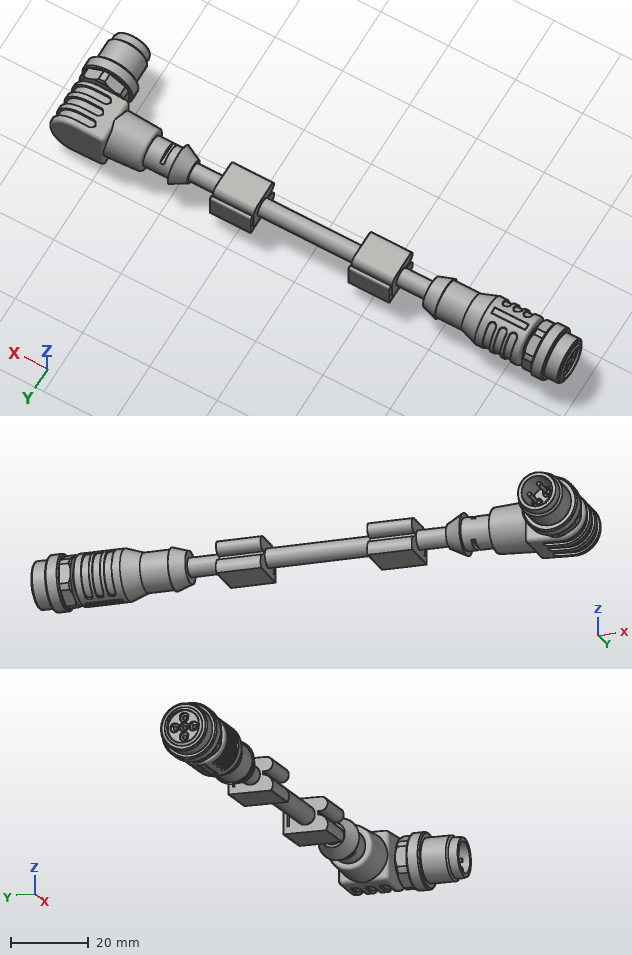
import cadquery as cq
import math


LENGTH = 152.1

CABLE_R = 2.6
CABLE_START = 41.0
CABLE_END = 113.3

RING_D = 15.0
RING_R = RING_D / 2
RING_CHAMFER = 0.38
HEX_SIDES = 6
HEX_FLATS = 13.0
HEX_TRIM_R = 7.0
HEX_CHAMFER = 0.5
NECK_D = 8.7

OVERLAP = 0.8

CONTACT_RADIUS = 2.6
WELL_D = 2.5
WELL_DEPTH = 0.8
CONTACT_COUNT = 4

SOCKET_LIP_R = 5.2
SOCKET_LIP_ROUND = 0.5
SOCKET_MOUTH_R = 4.4
SOCKET_MOUTH_DEPTH = 0.8
SOCKET_HOLE_D = 1.15
SOCKET_HOLE_DEPTH = 6.1
SLEEVE_R = 6.4
SLEEVE_START = 0.5
SOCKET_RING_START = 4.5
SOCKET_RING_END = 8.2
SOCKET_HEX_END = 11.3

GRIP_START = 12.2
GRIP_R = 7.0
GRIP_START_ROUND = 0.6
GRIP_END = 25.0
TAIL_START = 29.8
TAIL_R = 5.3
COLLAR_START = 37.5
COLLAR_R = 5.8
COLLAR_END_R = 4.4
COLLAR_END = 41.8
GRIP_GROOVES_X = (15.4, 18.4, 21.6)
GRIP_GROOVE_WIDTH = 2.1
GRIP_GROOVE_DEPTH = 0.5
GRIP_GROOVE_END_Y = 2.7
GRIP_FLAT_START = 13.4
GRIP_FLAT_END = 23.4
GRIP_FLAT_WIDTH = 1.8
GRIP_FLAT_Z = 6.7

CLIP_STARTS = (50.8, 92.0)
CLIP_LENGTH = 12.2
CLIP_TOP = 4.5
CLIP_SIDE = 6.1
JAW_THICKNESS = 3.8
JAW_ROUND = JAW_THICKNESS / 2
GAP_FLOOR = 0
GAP_DEPTH_Y = -3.3
LOBE_START_Y = -4.9
LOBE_TOP = -0.6
LOBE_MID_Z = -2.6
LOBE_END_Y = -5.6
HOOK_THICKNESS = 1.14
HOOK_TOP = 3.0
SLIT_WIDTH = 0.5
SLIT_BOTTOM = -2.6

FLARE_START = 112.5
FLARE_START_R = 3.3
FLARE_END = 117.0
FLARE_R = 5.6
WAIST_R = 4.4
WAIST_SLOT_X = 120.0
WAIST_SLOT_WIDTH = 1.0
WAIST_SLOT_FLOOR = 2.9
BARREL_START = 125.0
BARREL_START_R = 6.1
BARREL_END_R = 6.7
BARREL_START_ROUND = 0.8
BLOCK_START = 135.2
BLOCK_START_HALF_Z = 6.7
BLOCK_END_D = 14.1
BLOCK_END_R = BLOCK_END_D / 2
BLOCK_WIDTH_Y = 13.8
BLOCK_HALF_Y = BLOCK_WIDTH_Y / 2
BLOCK_EDGE_ROUND = 1.0
HOUSING_GROOVE_PITCH = 4.0
HOUSING_GROOVE_WIDTH = 2.5
HOUSING_GROOVE_START = 139.5
HOUSING_GROOVE_DEPTH = 0.68

PIN_AXIS_X = LENGTH - RING_R
SPAN_Y = 32.0
PIN_TIP_Y = RING_R - SPAN_Y
PIN_TIP_D = 10.8
PIN_TIP_R = PIN_TIP_D / 2
PIN_TIP_END = 2.5
PIN_TIP_CHAMFER_LENGTH = 0.8
PIN_TIP_CHAMFER_DEPTH = 0.23
PIN_SLEEVE_D = 12.0
PIN_SLEEVE_R = PIN_SLEEVE_D / 2
PIN_SLEEVE_CHAMFER = 0.5
PIN_RING_START = 9.7
PIN_RING_END = 13.4
PIN_HEX_END = 16.6
PIN_BORE_D = 8.4
PIN_BORE_R = PIN_BORE_D / 2
PIN_BORE_DEPTH = 8.4
PIN_D = 1.0
PIN_TIP_SETBACK = 1.5
KEY_WIDTH = 1.2
KEY_INNER_R = 3.2
KEY_ANGLE = 135


def turned(profile):
    """Solid of revolution about X from (x, radius) points."""
    start, end = profile[0][0], profile[-1][0]
    outline = [(start, 0)] + list(profile) + [(end, 0)]
    return cq.Workplane("XY").polyline(outline).close().revolve(360, (0, 0, 0), (1, 0, 0))


def rod(start, end, radius):
    """Cylinder along X."""
    return turned([(start, radius), (end, radius)])


def contacts(start, end, diameter):
    """Ring of cylinders along X, spread evenly about the axis."""
    return (
        cq.Workplane("YZ", origin=(start, 0, 0))
        .polarArray(CONTACT_RADIUS, 0, 360, CONTACT_COUNT)
        .circle(diameter / 2)
        .extrude(end - start)
    )


def coupling_nut(ring_start, ring_end, hex_end, neck_end):
    """Ring, hexagon with corners on +Z and -Z, and neck, along X."""
    ring = turned([
        (ring_start, RING_R - RING_CHAMFER),
        (ring_start + RING_CHAMFER, RING_R),
        (ring_end - RING_CHAMFER, RING_R),
        (ring_end, RING_R - RING_CHAMFER),
    ])
    half_flat_angle = 180 / HEX_SIDES
    corner_diameter = HEX_FLATS / math.cos(math.radians(half_flat_angle))
    hexagon = (
        cq.Workplane("YZ", origin=(ring_end, 0, 0))
        .transformed(rotate=(0, 0, half_flat_angle))
        .polygon(HEX_SIDES, corner_diameter)
        .extrude(hex_end - ring_end)
    )
    trim = turned([
        (ring_end, HEX_TRIM_R),
        (hex_end - HEX_CHAMFER, HEX_TRIM_R),
        (hex_end, HEX_TRIM_R - HEX_CHAMFER),
    ])
    neck = rod(hex_end - OVERLAP, neck_end, NECK_D / 2)
    return ring.union(hexagon.intersect(trim)).union(neck)


def socket_connector():
    """Sleeve with a rounded lip, recessed contact face and five stepped contact holes."""
    lip = rod(0, SLEEVE_START + OVERLAP, SOCKET_LIP_R).faces("<X").edges().fillet(SOCKET_LIP_ROUND)
    sleeve = rod(SLEEVE_START, SOCKET_RING_START + OVERLAP, SLEEVE_R).faces("<X").chamfer(RING_CHAMFER)
    nut = coupling_nut(SOCKET_RING_START, SOCKET_RING_END, SOCKET_HEX_END, GRIP_START + OVERLAP)
    connector = nut.union(sleeve).union(lip).cut(rod(0, SOCKET_MOUTH_DEPTH, SOCKET_MOUTH_R))
    well_floor = SOCKET_MOUTH_DEPTH + WELL_DEPTH
    hole_end = SOCKET_MOUTH_DEPTH + SOCKET_HOLE_DEPTH
    for depth, diameter in ((well_floor, WELL_D), (hole_end, SOCKET_HOLE_D)):
        connector = connector.cut(contacts(0, depth, diameter)).cut(rod(0, depth, diameter / 2))
    return connector


def straight_grip():
    """Grip with finger grooves on both sides and a flat on the top and bottom."""
    grip = turned([
        (GRIP_START, GRIP_R),
        (GRIP_END, GRIP_R),
        (TAIL_START, TAIL_R),
        (COLLAR_START, TAIL_R),
        (COLLAR_START, COLLAR_R),
        (COLLAR_END, COLLAR_END_R),
    ])
    grip = grip.faces("<X").edges().fillet(GRIP_START_ROUND)
    skin = rod(GRIP_START, GRIP_END, GRIP_R).cut(rod(GRIP_START, GRIP_END, GRIP_R - GRIP_GROOVE_DEPTH))
    slot_length = 2 * GRIP_R
    slot_centre_y = GRIP_GROOVE_END_Y + slot_length / 2
    slots = (
        cq.Workplane("XY", origin=(0, 0, -GRIP_R))
        .pushPoints([(x, side * slot_centre_y) for x in GRIP_GROOVES_X for side in (1, -1)])
        .slot2D(slot_length, GRIP_GROOVE_WIDTH, 90)
        .extrude(2 * GRIP_R)
    )
    grip = grip.cut(skin.intersect(slots))
    flat_length = GRIP_FLAT_END - GRIP_FLAT_START
    for side in (1, -1):
        recess = cq.Workplane("XY").box(flat_length, GRIP_FLAT_WIDTH, GRIP_R, centered=(False, True, False))
        bottom = GRIP_FLAT_Z if side > 0 else -GRIP_FLAT_Z - GRIP_R
        grip = grip.cut(recess.translate((GRIP_FLAT_START, 0, bottom)))
    return grip


def cable_clip(start):
    """Clip with a split jaw toward -Y and a hook behind a slit toward +Y."""
    jaw_y = JAW_ROUND - CLIP_SIDE
    jaw_bottom = CLIP_TOP - JAW_THICKNESS
    hook_inner = CLIP_SIDE - HOOK_THICKNESS
    body_side = hook_inner - SLIT_WIDTH
    shoulder = JAW_ROUND * math.sqrt(0.5)
    outline = (
        cq.Workplane("YZ", origin=(start, 0, 0))
        .moveTo(jaw_y, CLIP_TOP)
        .threePointArc((-CLIP_SIDE, CLIP_TOP - JAW_ROUND), (jaw_y, jaw_bottom))
        .lineTo(GAP_DEPTH_Y, jaw_bottom)
        .lineTo(GAP_DEPTH_Y, GAP_FLOOR)
        .lineTo(LOBE_START_Y, LOBE_TOP)
        .threePointArc((-CLIP_SIDE, LOBE_MID_Z), (LOBE_END_Y, -CLIP_TOP))
        .lineTo(CLIP_SIDE, -CLIP_TOP)
        .lineTo(CLIP_SIDE, HOOK_TOP - HOOK_THICKNESS / 2)
        .threePointArc(
            (CLIP_SIDE - HOOK_THICKNESS / 2, HOOK_TOP),
            (hook_inner, HOOK_TOP - HOOK_THICKNESS / 2),
        )
        .lineTo(hook_inner, SLIT_BOTTOM)
        .lineTo(body_side, SLIT_BOTTOM)
        .lineTo(body_side, CLIP_TOP - JAW_ROUND)
        .threePointArc(
            (body_side - JAW_ROUND + shoulder, CLIP_TOP - JAW_ROUND + shoulder),
            (body_side - JAW_ROUND, CLIP_TOP),
        )
        .close()
    )
    return outline.extrude(CLIP_LENGTH)


def housing_block(inset):
    """Block with a round +X end, shrunk in the XZ plane by the inset."""
    radius = BLOCK_END_R - inset
    half_z = BLOCK_START_HALF_Z - inset
    return (
        cq.Workplane("XZ", origin=(0, BLOCK_HALF_Y, 0))
        .moveTo(BLOCK_START, -half_z)
        .lineTo(PIN_AXIS_X, -radius)
        .threePointArc((PIN_AXIS_X + radius, 0), (PIN_AXIS_X, radius))
        .lineTo(BLOCK_START, half_z)
        .close()
        .extrude(BLOCK_WIDTH_Y)
    )


def angled_housing():
    """Flared strain relief, tapered barrel and rounded block with finger grooves."""
    stem = turned([
        (FLARE_START, FLARE_START_R),
        (FLARE_END, FLARE_R),
        (FLARE_END, WAIST_R),
        (BARREL_START + OVERLAP, WAIST_R),
    ])
    for side in (1, -1):
        slot_z = side * (WAIST_SLOT_FLOOR + WAIST_R / 2)
        slot = cq.Workplane("XY").box(WAIST_SLOT_WIDTH, 2 * WAIST_R, WAIST_R)
        stem = stem.cut(slot.translate((WAIST_SLOT_X, 0, slot_z)))

    barrel = turned([
        (BARREL_START, BARREL_START_R),
        (BLOCK_START + BLOCK_EDGE_ROUND, BARREL_END_R),
    ])
    barrel = barrel.faces("<X").edges().fillet(BARREL_START_ROUND)

    block = housing_block(0).faces("<Y or >Y or <X").edges().fillet(BLOCK_EDGE_ROUND)
    skin = housing_block(0).cut(housing_block(HOUSING_GROOVE_DEPTH))
    groove_length = 2 * (LENGTH - HOUSING_GROOVE_START)
    grooves = (
        cq.Workplane("XY", origin=(0, 0, -RING_R))
        .pushPoints([(LENGTH, row * HOUSING_GROOVE_PITCH) for row in (-1, 0, 1)])
        .slot2D(groove_length, HOUSING_GROOVE_WIDTH)
        .extrude(2 * RING_R)
    )
    return block.cut(skin.intersect(grooves)).union(barrel).union(stem)


def pin_connector():
    """Hollow sleeve with four pins and a key on the bore wall, turned to point along -Y."""
    tip_step = PIN_TIP_END + PIN_SLEEVE_CHAMFER
    sleeve = turned([
        (0, PIN_TIP_R - PIN_TIP_CHAMFER_DEPTH),
        (PIN_TIP_CHAMFER_LENGTH, PIN_TIP_R),
        (PIN_TIP_END, PIN_TIP_R),
        (tip_step, PIN_SLEEVE_R),
        (PIN_RING_START + OVERLAP, PIN_SLEEVE_R),
    ])
    neck_end = -PIN_TIP_Y - BLOCK_HALF_Y + OVERLAP
    nut = coupling_nut(PIN_RING_START, PIN_RING_END, PIN_HEX_END, neck_end)
    well_floor = PIN_BORE_DEPTH + WELL_DEPTH
    key = (
        cq.Workplane("XY")
        .box(
            PIN_BORE_DEPTH + OVERLAP - PIN_TIP_SETBACK,
            KEY_WIDTH,
            PIN_BORE_R + OVERLAP - KEY_INNER_R,
            centered=(False, True, False),
        )
        .translate((PIN_TIP_SETBACK, 0, KEY_INNER_R))
        .rotate((0, 0, 0), (1, 0, 0), KEY_ANGLE)
    )
    connector = (
        nut.union(sleeve)
        .cut(rod(0, PIN_BORE_DEPTH, PIN_BORE_R))
        .cut(contacts(PIN_BORE_DEPTH, well_floor, WELL_D))
        .union(contacts(PIN_TIP_SETBACK, well_floor + OVERLAP, PIN_D))
        .union(key)
    )
    return connector.rotate((0, 0, 0), (0, 0, 1), 90).translate((PIN_AXIS_X, PIN_TIP_Y, 0))


cordset = rod(CABLE_START, CABLE_END, CABLE_R)
cordset = cordset.union(socket_connector()).union(straight_grip())
for clip_start in CLIP_STARTS:
    cordset = cordset.union(cable_clip(clip_start))
cordset = cordset.union(angled_housing()).union(pin_connector())

result = cordset